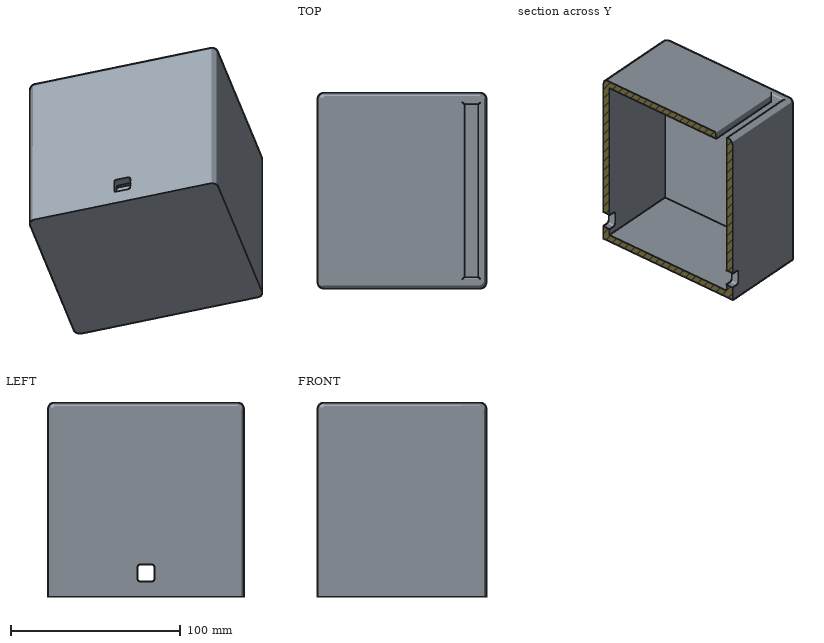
import cadquery as cq
import math

LENGTH_X = 100.0
WIDTH_Y = 116.0
HEIGHT = 115.0
OUTER_RADIUS = 4.0

WALL_X = 5.0
WALL_Y = 7.0
FLOOR = 5.0
ROOF = 5.0

SLOT_WIDTH = 8.0
SLOT_LIP_RADIUS = 1.5

PORT_SIZE = 10.0
PORT_CORNER_RADIUS = 1.7
PORT_CENTER_Z = 14.2

CAVITY_X = LENGTH_X - 2 * WALL_X
CAVITY_Y = WIDTH_Y - 2 * WALL_Y
CAVITY_HEIGHT = HEIGHT - FLOOR - ROOF
CUT_CLEARANCE = 1.2


def outer_box():
    """Box with rounded upright and top edges and a sharp bottom rim."""
    box = cq.Workplane("XY").box(LENGTH_X, WIDTH_Y, HEIGHT, centered=(True, True, False))
    return box.edges("|Z or >Z").fillet(OUTER_RADIUS)


def cavity():
    """Plain rectangular inner space."""
    space = cq.Workplane("XY").box(CAVITY_X, CAVITY_Y, CAVITY_HEIGHT, centered=(True, True, False))
    return space.translate((0, 0, FLOOR))


def flat_lip(wall, side):
    """Start, middle and end of a quarter-round lip from a slot wall to the flat top.

    The lip leans toward the positive axis for side = 1, the negative axis for side = -1.
    """
    arc_inset = SLOT_LIP_RADIUS * (1 - math.sqrt(0.5))
    start = (wall, HEIGHT - SLOT_LIP_RADIUS)
    middle = (wall + side * arc_inset, HEIGHT - arc_inset)
    end = (wall + side * SLOT_LIP_RADIUS, HEIGHT)
    return start, middle, end


def rounded_edge_lip(wall):
    """Start, middle and end of a lip from a slot wall to the outer +X rounding, tangent to both."""
    round_x = LENGTH_X / 2 - OUTER_RADIUS
    round_z = HEIGHT - OUTER_RADIUS
    lip_x = wall + SLOT_LIP_RADIUS
    lean = math.asin((lip_x - round_x) / (OUTER_RADIUS - SLOT_LIP_RADIUS))
    lip_z = round_z + (OUTER_RADIUS - SLOT_LIP_RADIUS) * math.cos(lean)

    def on_lip(angle):
        """Point on the lip arc, with the angle measured from +Z toward +X."""
        return (lip_x + SLOT_LIP_RADIUS * math.sin(angle), lip_z + SLOT_LIP_RADIUS * math.cos(angle))

    wall_angle = -math.pi / 2
    return on_lip(wall_angle), on_lip((wall_angle + lean) / 2), on_lip(lean)


def flared_opening(plane, low_lip, high_lip, length):
    """Straight opening through the roof that widens along the given lips, centred on the plane."""
    low_start, low_middle, low_end = low_lip
    high_start, high_middle, high_end = high_lip
    bottom = HEIGHT - ROOF - CUT_CLEARANCE
    top = HEIGHT + CUT_CLEARANCE
    return (
        cq.Workplane(plane)
        .moveTo(low_start[0], bottom)
        .lineTo(high_start[0], bottom)
        .lineTo(*high_start)
        .threePointArc(high_middle, high_end)
        .lineTo(high_end[0], top)
        .lineTo(low_end[0], top)
        .lineTo(*low_end)
        .threePointArc(low_middle, low_start)
        .close()
        .extrude(length / 2, both=True)
    )


def roof_slot():
    """Slot with a rounded lip on all four sides, mitred where the lips meet."""
    outer_wall = CAVITY_X / 2
    inner_wall = outer_wall - SLOT_WIDTH
    end_wall = CAVITY_Y / 2
    across = flared_opening("XZ", flat_lip(inner_wall, -1), rounded_edge_lip(outer_wall), WIDTH_Y)
    along = flared_opening("YZ", flat_lip(-end_wall, -1), flat_lip(end_wall, 1), LENGTH_X)
    return across.intersect(along)


def side_port():
    """Rounded square passage running the full length in X."""
    port = cq.Workplane("XY").box(LENGTH_X + 2 * CUT_CLEARANCE, PORT_SIZE, PORT_SIZE)
    return port.edges("|X").fillet(PORT_CORNER_RADIUS).translate((0, 0, PORT_CENTER_Z))


result = outer_box().cut(cavity()).cut(roof_slot()).cut(side_port())